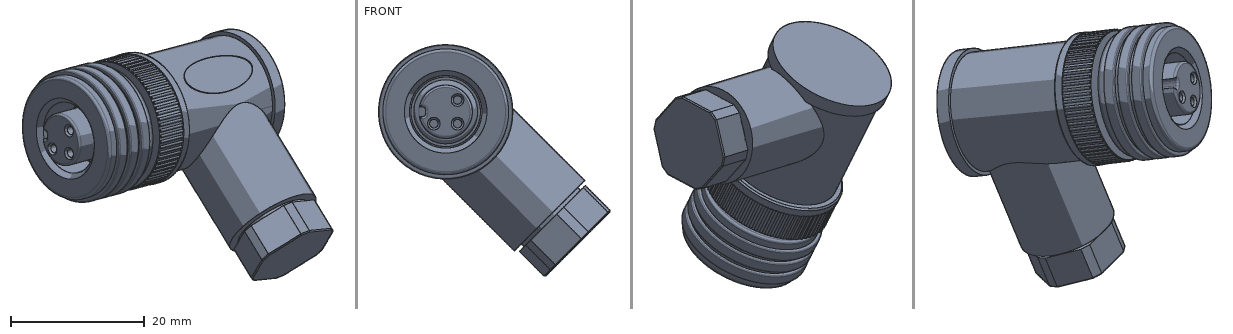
import cadquery as cq
import math


OVERALL_LENGTH = 37.6
SLEEVE_FRONT = 0.98
SLEEVE_LENGTH = 9.35
SLEEVE_BACK = SLEEVE_FRONT + SLEEVE_LENGTH
RING_FRONT = 11.15
COLLAR_FRONT = 15.98
HOUSING_FRONT = 17.4
CAP_THICKNESS = 2.03

HOUSING_RADIUS = 9.0
CAP_RADIUS = 9.55
ARM_RADIUS = 7.45
ARM_Y = 29.2
ARM_LENGTH = 21.9
BADGE_Y = 26.88
BADGE_HALF_LENGTH = 6.85
BADGE_HALF_WIDTH = 3.05
BADGE_DEPTH = 0.15

NUT_START = 22.5
NUT_END = 27.9
NUT_ACROSS_FLATS = 12.93
NUT_ACROSS_CORNERS = 14.05
NUT_CHAMFER = 0.2
NUT_TURN = -13.6
NUT_NECK_RADIUS = 5.98
HEX_SIDES = 6

COLLAR_RADIUS = 10.0
COLLAR_CHAMFER = 0.25
GRIP_RADIUS = 9.7
RIB_RADIUS = 0.23
RIB_COUNT = 71
RIB_START_ANGLE = 178.7
RIB_SETBACK = 0.15

SLEEVE_RADIUS = 9.4
SLEEVE_END_FILLET = 0.45
SLEEVE_NECK_RADIUS = 6.13
RIDGE_RADIUS = 10.05
RIDGE_WIDTH = 1.65
RIDGE_FILLET = 0.15
RIDGE_COUNT = 3
RIDGE_PITCH = 2.35
FIRST_RIDGE_Y = 2.48
SOCKET_RADIUS = 5.4
SOCKET_CHAMFER = 0.75
SOCKET_BACK = 7.5
CORE_RADIUS = 5.2

INSERT_RADIUS = 4.0
INSERT_FILLET = 0.35
SHOULDER_RADIUS = 4.77
SHOULDER_FILLET = 0.75
SHOULDER_Y = 7.5
CORE_Y = 8.65
KEY_WIDTH = 1.43
KEY_DEPTH = 0.98
KEY_CORNER_RADIUS = 0.45
CONTACT_OFFSET = 1.75
CONTACT_RADIUS = 0.65
CONTACT_CHAMFER = 0.3
CONTACT_DEPTH = 3.75


def disc(radius, y_front, y_back):
    """Cylinder on the plug axis between two Y positions."""
    return cq.Workplane("XZ", origin=(0, y_front, 0)).circle(radius).extrude(y_front - y_back)


def arm_plane(distance):
    """Plane across the cable arm, its x direction pointing to -Y."""
    reach = distance * math.sqrt(0.5)
    return cq.Plane(origin=(reach, ARM_Y, -reach), xDir=(0, -1, 0), normal=(1, 0, -1))


def make_badge_recess():
    """Oval recess of even depth in the housing wall, on the side facing +X +Z."""
    badge_plane = cq.Plane(origin=(0, BADGE_Y, 0), xDir=(0, 1, 0), normal=(1, 0, 1))
    oval = cq.Workplane(badge_plane).ellipse(BADGE_HALF_LENGTH, BADGE_HALF_WIDTH).extrude(CAP_RADIUS)
    floor = disc(HOUSING_RADIUS - BADGE_DEPTH, HOUSING_FRONT, OVERALL_LENGTH)
    return oval.cut(floor)


def make_housing():
    barrel = disc(HOUSING_RADIUS, HOUSING_FRONT, OVERALL_LENGTH)
    cap = disc(CAP_RADIUS, OVERALL_LENGTH - CAP_THICKNESS, OVERALL_LENGTH)
    arm = cq.Workplane(arm_plane(0)).circle(ARM_RADIUS).extrude(ARM_LENGTH)
    return barrel.union(cap).union(arm).cut(make_badge_recess())


def make_hexagon(across_flats, turn):
    """Hexagonal prism over the length of the nut, turned about the arm axis."""
    corner_diameter = across_flats / math.cos(math.pi / HEX_SIDES)
    return (
        cq.Workplane(arm_plane(NUT_START))
        .transformed(rotate=(0, 0, turn))
        .polygon(HEX_SIDES, corner_diameter)
        .extrude(NUT_END - NUT_START)
    )


def make_cable_nut():
    """Hexagon nut with flattened corners, its neck standing on the end of the arm."""
    half_side_angle = 180 / HEX_SIDES
    corner_cut = make_hexagon(NUT_ACROSS_CORNERS, NUT_TURN + half_side_angle)
    nut = make_hexagon(NUT_ACROSS_FLATS, NUT_TURN).intersect(corner_cut)
    nut = nut.faces(cq.selectors.DirectionMinMaxSelector(cq.Vector(1, 0, -1))).edges().chamfer(NUT_CHAMFER)
    neck = cq.Workplane(arm_plane(ARM_LENGTH)).circle(NUT_NECK_RADIUS).extrude(NUT_START - ARM_LENGTH)
    return nut.union(neck)


def make_knurled_ring():
    base = disc(GRIP_RADIUS, RING_FRONT, COLLAR_FRONT)
    rib_front = RING_FRONT + RIB_SETBACK
    ribs = (
        cq.Workplane("XZ", origin=(0, rib_front, 0))
        .polarArray(GRIP_RADIUS, RIB_START_ANGLE, 360, RIB_COUNT)
        .circle(RIB_RADIUS)
        .extrude(rib_front - COLLAR_FRONT)
    )
    collar = disc(COLLAR_RADIUS, COLLAR_FRONT, HOUSING_FRONT).faces(">Y").edges().chamfer(COLLAR_CHAMFER)
    bore = disc(CORE_RADIUS, RING_FRONT, HOUSING_FRONT)
    return base.union(ribs).union(collar).cut(bore)


def make_sleeve():
    """Ridged coupling sleeve with a narrower neck at its back and a stepped bore."""
    sleeve = disc(SLEEVE_RADIUS, SLEEVE_FRONT, SLEEVE_BACK).edges().fillet(SLEEVE_END_FILLET)
    for index in range(RIDGE_COUNT):
        ridge_front = FIRST_RIDGE_Y + index * RIDGE_PITCH
        ridge = disc(RIDGE_RADIUS, ridge_front, ridge_front + RIDGE_WIDTH).edges().fillet(RIDGE_FILLET)
        sleeve = sleeve.union(ridge)
    sleeve = sleeve.union(disc(SLEEVE_NECK_RADIUS, SLEEVE_BACK, RING_FRONT))
    socket = disc(SOCKET_RADIUS, SLEEVE_FRONT, SOCKET_BACK)
    bore = disc(CORE_RADIUS, SLEEVE_FRONT, RING_FRONT)
    mouth = cq.Workplane(
        cq.Solid.makeCone(
            SOCKET_RADIUS + SOCKET_CHAMFER,
            SOCKET_RADIUS,
            SOCKET_CHAMFER,
            pnt=cq.Vector(0, SLEEVE_FRONT, 0),
            dir=cq.Vector(0, 1, 0),
        )
    )
    return sleeve.cut(socket).cut(bore).cut(mouth)


def make_contact_insert():
    """Stepped insert with a key slot at -X and three contact holes in its tip."""
    face = cq.Workplane("XZ")
    shoulder = disc(SHOULDER_RADIUS, SHOULDER_Y, CORE_Y).faces("<Y").edges().fillet(SHOULDER_FILLET)
    core = disc(CORE_RADIUS, CORE_Y, HOUSING_FRONT)

    key_slot = (
        face.center(-INSERT_RADIUS, 0)
        .rect(2 * KEY_DEPTH, KEY_WIDTH)
        .extrude(-SHOULDER_Y)
        .edges("|Y")
        .fillet(KEY_CORNER_RADIUS)
    )
    tip = disc(INSERT_RADIUS, 0, SHOULDER_Y).cut(key_slot).faces("<Y").edges().fillet(INSERT_FILLET)

    contact_places = [(CONTACT_OFFSET, CONTACT_OFFSET), (CONTACT_OFFSET, -CONTACT_OFFSET),
                      (-CONTACT_OFFSET, -CONTACT_OFFSET)]
    contacts = face.pushPoints(contact_places).circle(CONTACT_RADIUS).extrude(-CONTACT_DEPTH)
    contact_mouths = (
        face.pushPoints(contact_places)
        .circle(CONTACT_RADIUS + CONTACT_CHAMFER)
        .extrude(-CONTACT_CHAMFER, taper=45)
    )
    tip = tip.cut(contacts).cut(contact_mouths)
    return tip.union(shoulder).union(core)


housing = make_housing()
cable_nut = make_cable_nut()
knurled_ring = make_knurled_ring()
sleeve = make_sleeve()
contact_insert = make_contact_insert()

result = cq.Compound.makeCompound(
    [housing.val(), cable_nut.val(), knurled_ring.val(), sleeve.val(), contact_insert.val()]
)